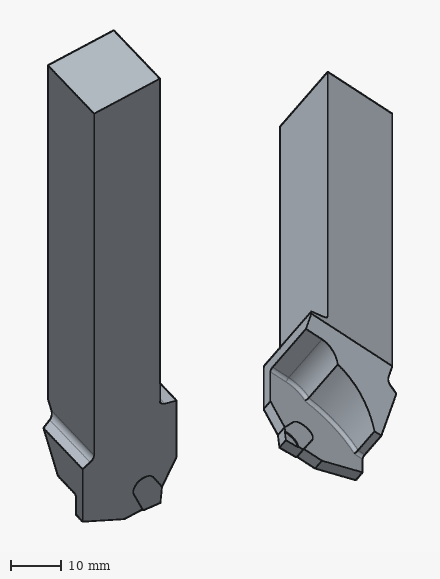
import cadquery as cq
import math

thickness = 15.9
length = 127
shank_depth = 16.1

head_front = -2.8
head_back = head_front + 23.0
front_shoulder_z = 22.5
front_shoulder_angle = 25
back_shoulder_z = 28.1
back_shoulder_angle = 18
shoulder_fillet = 1.7
head_front_bottom_z = 6.7
head_back_bottom_z = 11.2
blade_bottom_z = 0.9
blade_bottom_y = 7.4

blade_thickness = 2.3
blade_face_x = thickness - blade_thickness
bevel_top_z = 27.2
bevel_angle = 27
relief_front_z = 12.7
relief_front_y = -1.08
relief_corner = (11.2, 20.8)
relief_front_mid = (5.1, 18.4)
relief_back_z = 23.6
relief_back_y = 16.3
relief_fillet = 0.8
selection_gap = 0.1

insert_width = 5.2
insert_lean = 20
insert_end = (12.2, 7.6)
insert_tip_y = 16.3
insert_side_y = 16.6
insert_side_z = 4.6
insert_heel_z = 0.5
chip_radius = 3.0
chip_depth = 0.1


def extrude_x(profile, start, distance):
    """Extrude a closed YZ profile along +X from x = start."""
    return profile.close().extrude(distance).translate((start, 0, 0))


def make_insert():
    """Bar with a full-round inner end and a shallow chip recess around its tip."""
    radius = insert_width / 2
    lean = math.radians(insert_lean)
    end_y, end_z = insert_end
    across_y = radius * math.cos(lean)
    across_z = radius * math.sin(lean)
    back = (end_y + across_y, end_z + across_z)
    front = (end_y - across_y, end_z - across_z)
    crown = (end_y - radius * math.sin(lean), end_z + radius * math.cos(lean))
    heel_y = front[0] + (front[1] - insert_heel_z) * math.tan(lean)
    profile = (
        cq.Workplane("YZ")
        .moveTo(insert_tip_y, 0)
        .lineTo(heel_y, insert_heel_z)
        .lineTo(*front)
        .threePointArc(crown, back)
        .lineTo(insert_side_y, insert_side_z)
    )
    bar = extrude_x(profile, blade_face_x, blade_thickness)
    recess = cq.Workplane("YZ", origin=(blade_face_x, 0, 0)).center(insert_tip_y, 0)
    return bar, bar.cut(recess.circle(chip_radius).extrude(chip_depth))


def make_blank():
    """Shank and head as one plate with filleted shoulders."""
    front_corner_z = front_shoulder_z - head_front * math.tan(math.radians(front_shoulder_angle))
    back_overhang = head_back - shank_depth
    back_corner_z = back_shoulder_z + back_overhang * math.tan(math.radians(back_shoulder_angle))
    profile = (
        cq.Workplane("YZ")
        .moveTo(0, length)
        .lineTo(0, front_corner_z)
        .lineTo(head_front, front_shoulder_z)
        .lineTo(head_front, head_front_bottom_z)
        .lineTo(blade_bottom_y, blade_bottom_z)
        .lineTo(insert_end[0], blade_bottom_z)
        .lineTo(insert_side_y, insert_side_z)
        .lineTo(head_back, head_back_bottom_z)
        .lineTo(head_back, back_shoulder_z)
        .lineTo(shank_depth, back_corner_z)
        .lineTo(shank_depth, length)
    )
    blank = extrude_x(profile, 0, thickness)
    middle_x = thickness / 2
    for y, z in ((0, front_corner_z), (shank_depth, back_corner_z)):
        corner = cq.selectors.NearestToPointSelector((middle_x, y, z))
        blank = blank.edges(corner).fillet(shoulder_fillet)
    return blank


def cut_bevel(body):
    """Slope the -X side inward below the shank."""
    run = bevel_top_z * math.tan(math.radians(bevel_angle))
    wedge = (
        cq.Workplane("XZ", origin=(0, head_back, 0))
        .polyline([(0, 0), (run, 0), (0, bevel_top_z)])
        .close()
        .extrude(head_back - head_front)
    )
    return body.cut(wedge)


def cut_relief(body):
    """Clear the -X side down to the blade face, leaving a filleted curved step."""
    profile = (
        cq.Workplane("YZ")
        .moveTo(head_back, 0)
        .lineTo(head_back, relief_back_z)
        .lineTo(relief_back_y, relief_back_z)
        .tangentArcPoint(relief_corner, relative=False)
        .threePointArc(relief_front_mid, (relief_front_y, relief_front_z))
        .lineTo(head_front, relief_front_z)
        .lineTo(head_front, 0)
    )
    stepped = body.cut(extrude_x(profile, 0, blade_face_x))
    root = cq.selectors.BoxSelector(
        (blade_face_x - selection_gap, head_front + selection_gap, relief_front_z - selection_gap),
        (blade_face_x + selection_gap, head_back - selection_gap, relief_back_z + selection_gap),
    )
    return stepped.edges(root).fillet(relief_fillet)


insert_bar, insert = make_insert()
holder = cut_relief(cut_bevel(make_blank())).cut(insert_bar)

result = cq.Compound.makeCompound([holder.val(), insert.val()])